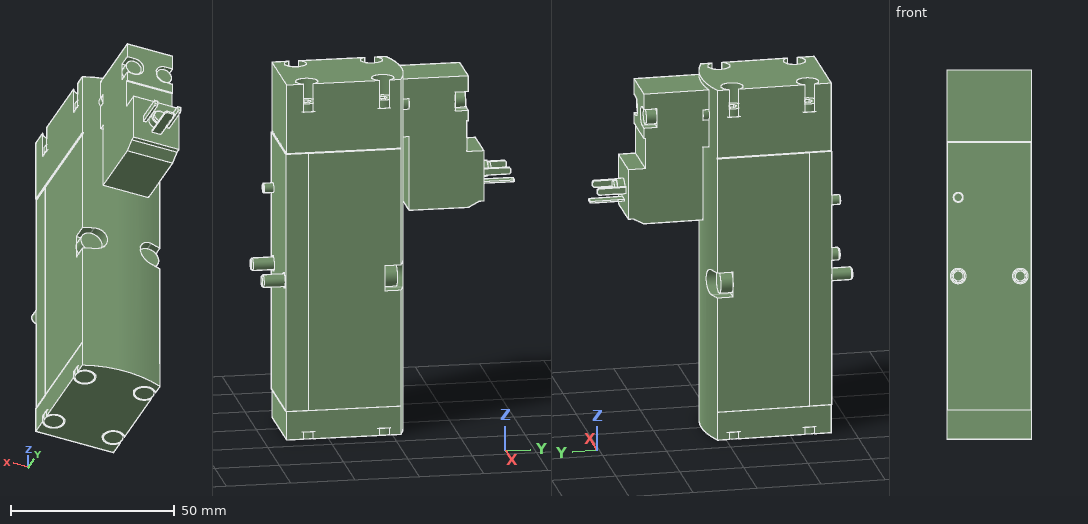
import cadquery as cq


width = 26.0
height = 113.1
lower_cap_top = 9.0
upper_cap_bottom = 91.2
crown_edge_y = 35.7
crown_peak_y = 38.2
cap_front_y = 0.2
plate_thickness = 7.0
body_inset = 0.1
plate_inset = 0.2
groove_height = 0.2
groove_depth = 0.3

cap_screw_x = 10.0
cap_screw_rows = (7.0, 30.7)
cap_bore_diameter = 6.8
cap_head_diameter = 6.0
upper_bore_depth = 8.9
upper_head_height = 2.6
lower_bore_depth = 2.3
socket_corner_diameter = 2.7
socket_depth = 1.1

mount_x = 9.5
mount_z = 50.0
mount_slot_width = 8.0
mount_slot_floor_y = 30.9
mount_head_diameter = 7.0
mount_head_height = 3.8
mount_shank_diameter = 4.0
mount_shank_length = 6.9
mount_clearance_diameter = 4.8
mount_tip_chamfer = 0.5

locating_pin_z = 74.1
locating_pin_diameter = 3.0
locating_pin_length = 3.2
locating_pin_chamfer = 0.2

coil_width = 15.2
coil_top = 111.6
coil_bottom = 69.7
coil_under_y = 39.2
coil_upper_back_y = 57.7
coil_step_z = 97.3
coil_step_depth = 0.5
coil_shoulder_z = 87.5
coil_face_y = 62.5
coil_face_bottom = 71.5
coil_bevel_y = (57.7, 61.1)
foot_bottom = 93.2

coil_screw_x = 5.1
coil_screw_z = 103.6
coil_slot_width = 6.0
coil_slot_floor_y = 53.6
coil_head_diameter = 5.0
coil_head_height = 3.3
foot_boss_diameter = 6.0

connector_z = 79.7
collar_diameter = 5.0
collar_length = 2.3
collar_tip_diameter = 4.0
collar_tip_length = 0.9
side_blade_x = 3.8
side_blade_size = (0.9, 2.0)
side_blade_tip_y = 71.5
ground_blade_z = 75.7
ground_blade_size = (3.0, 0.6)
ground_blade_tip_y = 73.2
blade_corner_chamfer = 0.5

overlap = 0.6


def y_cylinder(diameter, x, z, y_start, y_end):
    """A round bar along Y."""
    start = cq.Vector(x, y_start, z)
    return cq.Workplane(cq.Solid.makeCylinder(diameter / 2, y_end - y_start, start, cq.Vector(0, 1, 0)))


def z_cylinder(diameter, x, y, z_start, z_end):
    """A round bar along Z."""
    return cq.Workplane(cq.Solid.makeCylinder(diameter / 2, z_end - z_start, cq.Vector(x, y, z_start)))


def block(size_x, y_start, y_end, z_start, z_end):
    """A box centred on X."""
    return (
        cq.Workplane("XY")
        .box(size_x, y_end - y_start, z_end - z_start, centered=(True, False, False))
        .translate((0, y_start, z_start))
    )


def crowned_block(size_x, y_start, z_start, z_end):
    """A block whose back is the arched crown of the valve, cut to the given width."""
    arched = (
        cq.Workplane("XY", origin=(0, 0, z_start))
        .moveTo(-width / 2, y_start)
        .lineTo(width / 2, y_start)
        .lineTo(width / 2, crown_edge_y)
        .threePointArc((0, crown_peak_y), (-width / 2, crown_edge_y))
        .close()
        .extrude(z_end - z_start)
    )
    return arched.intersect(block(size_x, y_start, crown_peak_y, z_start, z_end))


def side_slot(slot_width, x, z, outer_x, y_start, y_end):
    """A round-ended slot along Y that opens sideways from x to outer_x."""
    mouth = (
        cq.Workplane("XY")
        .box(abs(outer_x - x), y_end - y_start, slot_width, centered=(True, False, True))
        .translate(((x + outer_x) / 2, y_start, z))
    )
    return mouth.union(y_cylinder(slot_width, x, z, y_start, y_end))


def cap_screw_bore(x, y, z_start, z_end):
    return z_cylinder(cap_bore_diameter, x, y, z_start, z_end)


def upper_cap_screw(x, y):
    """Screw head with a hexagon socket, its corners pointing along Y."""
    head_bottom = height - upper_bore_depth
    head_top = head_bottom + upper_head_height
    head = z_cylinder(cap_head_diameter, x, y, head_bottom - overlap, head_top)
    socket = (
        cq.Workplane("XY", origin=(x, y, head_top))
        .transformed(rotate=(0, 0, 90))
        .polygon(6, socket_corner_diameter)
        .extrude(-socket_depth)
    )
    return head.cut(socket)


def blade(x, z, size, tip_y):
    """A flat connector blade along Y with the two tip corners of its broad side cut off."""
    start = coil_face_y - overlap
    bar = cq.Workplane("XZ", origin=(x, start, z)).rect(*size).extrude(start - tip_y)
    thickness_axis = "X" if size[0] < size[1] else "Z"
    return bar.faces(">Y").edges("|" + thickness_axis).chamfer(blade_corner_chamfer)


groove_bottom = upper_cap_bottom - groove_height
result = crowned_block(width, cap_front_y, 0, lower_cap_top)
result = result.union(crowned_block(width, cap_front_y, upper_cap_bottom, height))
result = result.union(crowned_block(width - 2 * body_inset, plate_thickness, lower_cap_top, groove_bottom))
result = result.union(block(width - 2 * plate_inset, 0, plate_thickness, lower_cap_top, groove_bottom))
neck_width = width - 2 * groove_depth
result = result.union(
    crowned_block(neck_width, cap_front_y + groove_depth, groove_bottom, upper_cap_bottom)
)

for x in (-cap_screw_x, cap_screw_x):
    for y in cap_screw_rows:
        result = result.cut(cap_screw_bore(x, y, height - upper_bore_depth, height))
        result = result.cut(cap_screw_bore(x, y, 0, lower_bore_depth))
        result = result.union(upper_cap_screw(x, y))
        result = result.union(z_cylinder(cap_head_diameter, x, y, 0, lower_bore_depth + overlap))

for side in (-1, 1):
    x = side * mount_x
    slot = side_slot(mount_slot_width, x, mount_z, side * width / 2, mount_slot_floor_y, crown_peak_y)
    head_back_y = mount_slot_floor_y + mount_head_height
    head = y_cylinder(mount_head_diameter, x, mount_z, mount_slot_floor_y, head_back_y)
    clearance = y_cylinder(mount_clearance_diameter, x, mount_z, 0, plate_thickness)
    shank = y_cylinder(mount_shank_diameter, x, mount_z, -mount_shank_length, plate_thickness + overlap)
    shank = shank.faces("<Y").chamfer(mount_tip_chamfer)
    result = result.cut(slot).cut(clearance).union(head).union(shank)

locating_pin = y_cylinder(locating_pin_diameter, -mount_x, locating_pin_z, -locating_pin_length, overlap)
result = result.union(locating_pin.faces("<Y").chamfer(locating_pin_chamfer))

coil_lower_back_y = coil_upper_back_y - coil_step_depth
coil = (
    cq.Workplane("YZ")
    .polyline(
        [
            (crown_edge_y, coil_top),
            (coil_upper_back_y, coil_top),
            (coil_upper_back_y, coil_step_z),
            (coil_lower_back_y, coil_step_z),
            (coil_lower_back_y, coil_shoulder_z),
            (coil_face_y, coil_shoulder_z),
            (coil_face_y, coil_face_bottom),
            (coil_bevel_y[1], coil_face_bottom),
            (coil_bevel_y[0], coil_bottom),
            (coil_under_y, coil_bottom),
            (coil_under_y, foot_bottom),
            (crown_edge_y, foot_bottom),
        ]
    )
    .close()
    .extrude(coil_width / 2, both=True)
)

for side in (-1, 1):
    x = side * coil_screw_x
    slot = side_slot(
        coil_slot_width, x, coil_screw_z, side * coil_width / 2, coil_slot_floor_y, coil_upper_back_y
    )
    head_back_y = coil_slot_floor_y + coil_head_height
    head = y_cylinder(coil_head_diameter, x, coil_screw_z, coil_slot_floor_y, head_back_y)
    boss = y_cylinder(foot_boss_diameter, x, coil_screw_z, crown_edge_y, coil_under_y)
    coil = coil.cut(slot).union(head).union(boss)
result = result.union(coil)

collar_end_y = coil_face_y + collar_length
collar = y_cylinder(collar_diameter, 0, connector_z, coil_face_y - overlap, collar_end_y)
collar_tip = y_cylinder(
    collar_tip_diameter, 0, connector_z, collar_end_y - overlap, collar_end_y + collar_tip_length
)
result = result.union(collar).union(collar_tip)
for x in (-side_blade_x, side_blade_x):
    result = result.union(blade(x, connector_z, side_blade_size, side_blade_tip_y))
result = result.union(blade(0, ground_blade_z, ground_blade_size, ground_blade_tip_y))
result = result.solids()